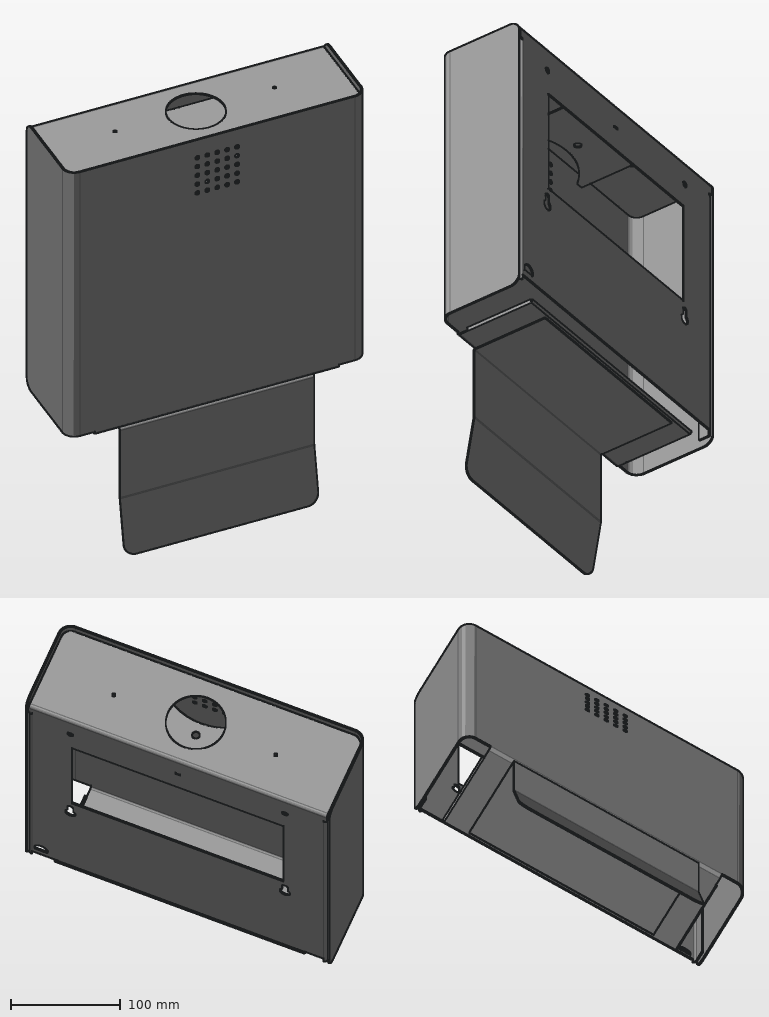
import cadquery as cq
import math

sheet = 1.5
bend_radius = 3.32
fit_gap = 1.5

overall_height = 443
cover_depth = 90.0
cover_width = 300.0
cover_height = 300.0
cover_bottom = overall_height - cover_height
front_corner_radius = 12.0
back_corner_radius = 10.0

grid_count = 5
grid_span = 40.0
grid_pitch = grid_span / (grid_count - 1)
grid_bottom = 383.0
grid_hole_diameter = 4.0

tray_drop = 4.0
tray_bottom = cover_bottom - tray_drop
tray_width = 244.5
tray_back = 6.0
tray_rim_height = 2.9
tray_flare = 30
rim_front = cover_depth - front_corner_radius

flap_width = 195.0
flap_back = 9.0
flap_bend_radius = 2.0
flap_tilt = math.radians(10)
flap_kink = 60.3
flap_kink_radius = 7.5
flap_corner_radius = 12.0

chassis_width = cover_width - 2 * (sheet + fit_gap)
chassis_front = cover_depth - sheet - fit_gap
chassis_top = 438.0
back_plate_bottom = 155.5
side_flange_bottom = 150.0
side_flange_top = 425.0
side_flange_depth = 13.5
relief_height = 1.5

port_x = 43.5
port_diameter = 55.0
top_hole_x = 40.8
top_hole_spacing = 160.0
top_hole_diameter = 3.0

window_width = 208.5
window_height = 109.0
window_bottom = 278.3
mount_spacing = 212.0
mount_hole_z = 413.0
mount_hole_diameter = 5.8
keyhole_z = 258.5
keyhole_diameter = 10.0
keyhole_top = 271.5
cable_hole_y = 134.5
cable_hole_z = 165.3
cable_hole_diameter = 13.5
cable_hole_floor = 162.5
shelf_slot_width = 5.0

shelf_top = 413.5
shelf_width = 106.5
shelf_bite_x = 117.0
shelf_bite_radius = 60.5
shelf_hole_diameter = 7.0


def centred_block(x_range, width, z_range):
    """A box between two X and two Z positions, centred on Y = 0."""
    x0, x1 = x_range
    z0, z1 = z_range
    return cq.Workplane("XY").box(x1 - x0, width, z1 - z0).translate(((x0 + x1) / 2, 0, (z0 + z1) / 2))


def across(profile, width):
    """Extrude an XZ profile symmetrically along Y."""
    return profile.extrude(width / 2, both=True)


def x_drill(x_end, diameter, points):
    """Round cutters along X, from the back face to x_end, at the given (Y, Z) points."""
    start = -sheet
    return cq.Workplane("YZ", origin=(start, 0, 0)).pushPoints(points).circle(diameter / 2).extrude(x_end - start)



def cover_walls():
    """Front wall and side walls, bent from one sheet, with rounded rear corners."""
    outer = (
        centred_block((0, cover_depth), cover_width, (cover_bottom, overall_height))
        .edges("|Z and >X").fillet(front_corner_radius)
    )
    inner = (
        centred_block((-sheet, cover_depth - sheet), cover_width - 2 * sheet, (cover_bottom, overall_height))
        .edges("|Z and >X").fillet(front_corner_radius - sheet)
    )
    return outer.cut(inner).edges("|Y and <X").fillet(back_corner_radius)


def grid_holes():
    """Cutters for the square grid of holes in the front wall."""
    steps = [i * grid_pitch for i in range(grid_count)]
    points = [(y - grid_span / 2, grid_bottom + z) for y in steps for z in steps]
    reach = cover_depth + sheet
    return x_drill(reach, grid_hole_diameter, points)


def tray_floor():
    """Floor of the tray with the bend that joins it to the front wall."""
    inner_radius = bend_radius - sheet
    bend_top = tray_bottom + bend_radius
    bend_start = cover_depth - bend_radius
    diagonal = math.sqrt(0.5)
    centre = (bend_start, bend_top)
    profile = (
        cq.Workplane("XZ")
        .moveTo(tray_back, tray_bottom)
        .lineTo(bend_start, tray_bottom)
        .threePointArc((centre[0] + bend_radius * diagonal, centre[1] - bend_radius * diagonal), (cover_depth, bend_top))
        .lineTo(cover_depth, cover_bottom)
        .lineTo(cover_depth - sheet, cover_bottom)
        .lineTo(cover_depth - sheet, bend_top)
        .threePointArc(
            (centre[0] + inner_radius * diagonal, centre[1] - inner_radius * diagonal),
            (bend_start, tray_bottom + sheet),
        )
        .lineTo(tray_back, tray_bottom + sheet)
        .close()
    )
    return across(profile, tray_width)


def tray_rim():
    """Low rim that leans outward at the back and at both sides of the tray."""
    def flared(inset):
        length = cover_depth - tray_back
        return (
            cq.Workplane("XY", origin=((tray_back + cover_depth) / 2, 0, tray_bottom))
            .rect(length - 2 * inset, tray_width - 2 * inset)
            .extrude(tray_rim_height, taper=-tray_flare)
        )
    keep = centred_block((0, rim_front), cover_width, (tray_bottom, tray_bottom + tray_rim_height))
    return flared(0).cut(flared(sheet)).intersect(keep)


def flap():
    """Plate under the tray that bends down and then outward, with rounded lower corners."""
    plate_bottom = tray_bottom - sheet
    inner_radius = flap_bend_radius - sheet
    bend_x = cover_depth - flap_bend_radius
    bend_z = tray_bottom - flap_bend_radius
    diagonal = math.sqrt(0.5)
    inner_x = cover_depth - sheet
    leaf_length = (flap_kink - sheet * math.sin(flap_tilt)) / math.cos(flap_tilt)
    tip_x = cover_depth + leaf_length * math.sin(flap_tilt)
    tip_z = sheet * math.sin(flap_tilt)
    inner_kink = flap_kink - sheet * math.tan(flap_tilt / 2)
    profile = (
        cq.Workplane("XZ")
        .moveTo(flap_back, tray_bottom)
        .lineTo(bend_x, tray_bottom)
        .threePointArc(
            (bend_x + flap_bend_radius * diagonal, bend_z + flap_bend_radius * diagonal), (cover_depth, bend_z)
        )
        .lineTo(cover_depth, flap_kink)
        .lineTo(tip_x, tip_z)
        .lineTo(tip_x - sheet * math.cos(flap_tilt), 0)
        .lineTo(inner_x, inner_kink)
        .lineTo(inner_x, bend_z)
        .threePointArc((bend_x + inner_radius * diagonal, bend_z + inner_radius * diagonal), (bend_x, plate_bottom))
        .lineTo(flap_back, plate_bottom)
        .close()
    )

    def near(x, z):
        """Select what is centred close to the given X and Z position, at any Y."""
        return cq.selectors.BoxSelector((x - sheet, -flap_width, z - sheet), (x + sheet, flap_width, z + sheet))
    bent = across(profile, flap_width)
    outer_kink = cq.selectors.NearestToPointSelector((cover_depth, 0, flap_kink))
    inner_kink_edge = cq.selectors.NearestToPointSelector((inner_x, 0, inner_kink))
    bent = bent.edges("|Y").edges(outer_kink).fillet(flap_kink_radius)
    bent = bent.edges("|Y").edges(inner_kink_edge).fillet(flap_kink_radius + sheet)
    return bent.edges(near(tip_x, 0)).edges("not |Y").fillet(flap_corner_radius)


def make_cover():
    return cover_walls().cut(grid_holes()).union(tray_floor()).union(tray_rim()).union(flap())



def side_flanged_back():
    """Back plate whose sides are bent forward; the flanges reach below the plate."""
    z_range = (side_flange_bottom, side_flange_top)
    outer = (
        centred_block((0, side_flange_depth), chassis_width, z_range)
        .edges("|Z and <X").fillet(bend_radius)
    )
    inner = (
        centred_block((sheet, side_flange_depth), chassis_width - 2 * sheet, z_range)
        .edges("|Z and <X").fillet(bend_radius - sheet)
    )
    below_plate = centred_block(
        (0, side_flange_depth), chassis_width - 2 * bend_radius, (side_flange_bottom, back_plate_bottom)
    )
    return outer.cut(inner).cut(below_plate)


def bend_reliefs():
    """Cutters for the notch above each side flange, as wide as the bend."""
    notches = cq.Workplane("XY")
    for side in (-1, 1):
        notch = centred_block((0, sheet), bend_radius, (side_flange_top, side_flange_top + relief_height))
        notches = notches.add(notch.translate((0, side * (chassis_width - bend_radius) / 2, 0)))
    return notches.combine()


def top_plate():
    """Top plate, bent forward from the upper end of the back plate."""
    outer = (
        centred_block((0, chassis_front), chassis_width, (side_flange_top, chassis_top))
        .edges("|Y and <X and >Z").fillet(bend_radius)
        .edges("|Z and >X").fillet(front_corner_radius - sheet - fit_gap)
    )
    inner = (
        centred_block((sheet, cover_depth), chassis_width, (side_flange_top, chassis_top - sheet))
        .edges("|Y and <X and >Z").fillet(bend_radius - sheet)
    )
    return outer.cut(inner)


def shelf():
    """Inner shelf behind the grid of holes, with a round bite and a centre hole under the port."""
    def upright(x, radius):
        return cq.Workplane("XY", origin=(x, 0, shelf_top - sheet)).circle(radius).extrude(sheet)
    plate = centred_block((sheet, rim_front), shelf_width, (shelf_top - sheet, shelf_top))
    return plate.cut(upright(shelf_bite_x, shelf_bite_radius)).cut(upright(port_x, shelf_hole_diameter / 2))


def top_openings():
    """Cutters for the round port and the two small holes of the top plate."""
    def upright(diameter, points):
        return (
            cq.Workplane("XY", origin=(0, 0, chassis_top - sheet))
            .pushPoints(points).circle(diameter / 2).extrude(sheet)
        )
    small = [(top_hole_x, side * top_hole_spacing / 2) for side in (-1, 1)]
    return upright(port_diameter, [(port_x, 0)]).union(upright(top_hole_diameter, small))


def back_openings():
    """Cutters for the window, mounting holes, keyholes, cable hole and shelf slot of the back plate."""
    through = (-sheet, sheet)
    cutters = centred_block(through, window_width, (window_bottom, window_bottom + window_height))
    cutters = cutters.union(centred_block(through, shelf_slot_width, (shelf_top - sheet, shelf_top)))
    slot_end = keyhole_top - mount_hole_diameter / 2
    for y in (-mount_spacing / 2, mount_spacing / 2):
        cutters = cutters.union(x_drill(sheet, mount_hole_diameter, [(y, mount_hole_z), (y, slot_end)]))
        cutters = cutters.union(x_drill(sheet, keyhole_diameter, [(y, keyhole_z)]))
        neck = centred_block(through, mount_hole_diameter, (keyhole_z, slot_end)).translate((0, y, 0))
        cutters = cutters.union(neck)
    above_floor = centred_block(through, cover_width, (cable_hole_floor, cable_hole_z + cable_hole_diameter))
    cable_hole = x_drill(sheet, cable_hole_diameter, [(cable_hole_y, cable_hole_z)]).intersect(above_floor)
    return cutters.union(cable_hole)


def make_chassis():
    folded = side_flanged_back().union(top_plate())
    return folded.cut(bend_reliefs()).cut(top_openings()).cut(back_openings()).union(shelf())


cover = make_cover()
chassis = make_chassis()
result = cq.Compound.makeCompound([cover.val(), chassis.val()])